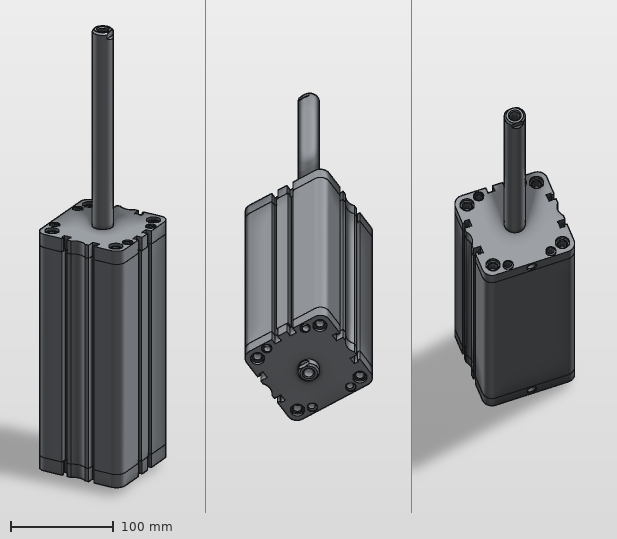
import cadquery as cq
import math

rod_length = 472.0
housing_side = 95.5
housing_bottom = 9.5
housing_top = 262.5
cap_height = 14.0
corner_radius = 10.0
half_side = housing_side / 2
barrel_height = housing_top - housing_bottom - 2 * cap_height

slot_width = 5.5
slot_depth = 6.0
y_side_relief_width = 2.0
y_side_relief_start = 3.0
y_side_relief_depth = 7.5
x_side_relief_width = 1.5
y_side_slot_inner = 12.5
x_side_slot_inner = 6.5
y_side_slot_outer = y_side_slot_inner + slot_width
slot_floor = half_side - slot_depth

groove_diameter = 25.0
groove_depth = 3.0

mount_spacing = 72.0
mount_bore = 13.5
mount_bore_depth = 3.5
mount_hole = 8.5
mount_countersink = 10.5
screw_spacing_x = 82.5
screw_spacing_y = 44.5
screw_bore = 10.0
screw_bore_depth = 1.5
screw_hole = 7.0
screw_hole_offset = 1.5

port_diameter = 8.5
port_mouth_diameter = 10.5
port_depth = 14.0

rod_diameter = 21.0
rod_chamfer = 2.0
flat_width = 17.0
flat_length = 6.0
tap_hole = 10.0
tap_countersink = 12.5
tap_depth = 23.5
drill_point_angle = 118.0


def upright_box(x_min, x_max, y_min, y_max, height):
    """Box standing on Z = 0 between the given X and Y limits."""
    return (
        cq.Workplane("XY")
        .box(x_max - x_min, y_max - y_min, height, centered=False)
        .translate((x_min, y_min, 0))
    )


def place_slots(y_side_slot, x_side_slot):
    """Cutter with the +Y side slot on both Y sides and the +X side slots, all in mirrored pairs."""
    y_pair = y_side_slot.union(y_side_slot.mirror("YZ"))
    x_pair = x_side_slot.union(x_side_slot.mirror("XZ"))
    return y_pair.union(y_pair.mirror("XZ")).union(x_pair)


def housing_block(height):
    """Length of the housing profile with slots, grooves and the rod bore."""
    block = (
        cq.Workplane("XY")
        .rect(housing_side, housing_side)
        .extrude(height)
        .edges("|Z")
        .fillet(corner_radius)
    )
    slots = place_slots(
        upright_box(y_side_slot_inner, y_side_slot_outer, slot_floor, half_side, height),
        upright_box(slot_floor, half_side, x_side_slot_inner, x_side_slot_inner + slot_width, height),
    )
    block = block.cut(slots)

    groove_center = half_side - groove_depth + groove_diameter / 2
    grooves = (
        cq.Workplane("XY")
        .pushPoints([(0, groove_center), (0, -groove_center)])
        .circle(groove_diameter / 2)
        .extrude(height)
    )
    rod_bore = cq.Workplane("XY").circle(rod_diameter / 2).extrude(height)
    return block.cut(grooves).cut(rod_bore)


def slot_reliefs():
    """Extra width and depth of the slots where they run through a cap."""
    relief_floor = half_side - y_side_relief_depth
    deepening = upright_box(y_side_slot_inner, y_side_slot_outer, relief_floor, half_side, cap_height)
    undercut = upright_box(
        y_side_slot_outer,
        y_side_slot_outer + y_side_relief_width,
        relief_floor,
        half_side - y_side_relief_start,
        cap_height,
    )
    widening = upright_box(
        slot_floor, half_side, x_side_slot_inner - x_side_relief_width, x_side_slot_inner, cap_height
    )
    return place_slots(deepening.union(undercut), widening)


def mount_hole_cutters():
    """Corner holes: counterbore, 45 degree lead-in and bore, through the cap."""
    bore_floor = cap_height - mount_bore_depth
    lead_in = (mount_countersink - mount_hole) / 2
    profile = (
        cq.Workplane("XZ")
        .moveTo(0, 0)
        .lineTo(mount_hole / 2, 0)
        .lineTo(mount_hole / 2, bore_floor - lead_in)
        .lineTo(mount_countersink / 2, bore_floor)
        .lineTo(mount_bore / 2, bore_floor)
        .lineTo(mount_bore / 2, cap_height)
        .lineTo(0, cap_height)
        .close()
    )
    hole = profile.revolve(360, (0, 0, 0), (0, 1, 0)).translate((mount_spacing / 2, mount_spacing / 2, 0))
    pair = hole.union(hole.mirror("YZ"))
    return pair.union(pair.mirror("XZ"))


def screw_hole_cutters():
    """Holes beside the corners: shallow counterbore and an offset bore through the cap."""
    counterbores = (
        cq.Workplane("XY", origin=(0, 0, cap_height))
        .rect(screw_spacing_x, screw_spacing_y, forConstruction=True)
        .vertices()
        .circle(screw_bore / 2)
        .extrude(-screw_bore_depth)
    )
    bores = (
        cq.Workplane("XY")
        .rect(screw_spacing_x - 2 * screw_hole_offset, screw_spacing_y, forConstruction=True)
        .vertices()
        .circle(screw_hole / 2)
        .extrude(cap_height)
    )
    return counterbores.union(bores)


def port_cutter():
    """Air port in the -X side, halfway up the cap."""
    port_radius = port_diameter / 2
    mouth_radius = port_mouth_diameter / 2
    mouth_depth = mouth_radius - port_radius
    return (
        cq.Workplane("XZ")
        .moveTo(-half_side, 0)
        .lineTo(-half_side, mouth_radius)
        .lineTo(-half_side + mouth_depth, port_radius)
        .lineTo(-half_side + port_depth, port_radius)
        .lineTo(-half_side + port_depth, 0)
        .close()
        .revolve(360, (0, 0, 0), (1, 0, 0))
        .translate((0, 0, cap_height / 2))
    )


def make_cap():
    """End cap with its inner face on Z = 0 and its outer face on top."""
    cap = housing_block(cap_height)
    for cutter in (slot_reliefs(), mount_hole_cutters(), screw_hole_cutters(), port_cutter()):
        cap = cap.cut(cutter)
    return cap


def rod_end_cutters():
    """Wrench flats and centre hole for the upper rod end."""
    rod_radius = rod_diameter / 2
    flat_x = flat_width / 2
    flat_bottom = rod_length - flat_length
    flat = (
        cq.Workplane("XZ")
        .moveTo(flat_x, rod_length)
        .lineTo(rod_radius, rod_length)
        .lineTo(rod_radius, flat_bottom - (rod_radius - flat_x))
        .lineTo(flat_x, flat_bottom)
        .close()
        .extrude(rod_radius, both=True)
    )
    hole_radius = tap_hole / 2
    countersink_depth = tap_countersink / 2 - hole_radius
    point_height = hole_radius / math.tan(math.radians(drill_point_angle / 2))
    hole_bottom = rod_length - tap_depth
    hole = (
        cq.Workplane("XZ")
        .moveTo(0, rod_length)
        .lineTo(tap_countersink / 2, rod_length)
        .lineTo(hole_radius, rod_length - countersink_depth)
        .lineTo(hole_radius, hole_bottom)
        .lineTo(0, hole_bottom - point_height)
        .close()
        .revolve(360, (0, 0, 0), (0, 1, 0))
    )
    return flat.union(flat.mirror("YZ")).union(hole)


def make_rod():
    """Through rod with the same chamfer, flats and hole at both ends."""
    rod = (
        cq.Workplane("XY")
        .circle(rod_diameter / 2)
        .extrude(rod_length)
        .faces("<Z or >Z")
        .chamfer(rod_chamfer)
    )
    upper_cut = rod_end_cutters()
    lower_cut = upper_cut.mirror("XY", (0, 0, rod_length / 2))
    return rod.cut(upper_cut).cut(lower_cut)


barrel = housing_block(barrel_height).translate((0, 0, housing_bottom + cap_height))
rod = make_rod()

upper_cap = make_cap().translate((0, 0, housing_top - cap_height))
housing_middle = (housing_bottom + housing_top) / 2
caps = [upper_cap, upper_cap.mirror("XY", (0, 0, housing_middle))]

result = cq.Compound.makeCompound([barrel.val(), rod.val(), *[cap.val() for cap in caps]])